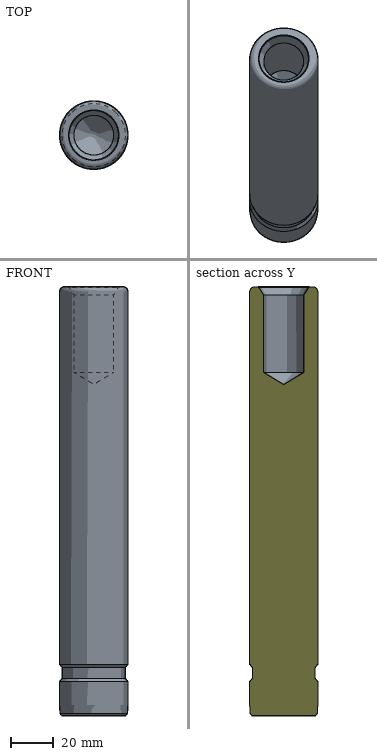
import cadquery as cq
import math

length = 200.0
radius = 16.0
top_fillet = 2.5

lead_in_height = 5.0
lead_in_radius = 15.75
bottom_chamfer = 1.0

groove_bottom = 16.0
groove_top = 24.0
groove_radius = 14.75
groove_flank_height = 1.5

recess_radius = 11.75
recess_depth = 0.4
mouth_radius = 11.5
bore_radius = 9.25
mouth_depth = 4.0
bore_depth = 40.0
drill_point_angle = 118.0


def revolve_about_z(profile):
    """Turn a half profile drawn in the XZ plane around the Z axis."""
    return profile.close().revolve(360, (0, 0, 0), (0, 1, 0))


def make_pillar():
    """Turned outside shape: chamfered foot, lead-in, groove, shaft and rounded top."""
    fillet_mid = top_fillet * math.sqrt(0.5)
    profile = (
        cq.Workplane("XZ")
        .lineTo(-(lead_in_radius - bottom_chamfer), 0)
        .lineTo(-lead_in_radius, bottom_chamfer)
        .lineTo(-radius, lead_in_height)
        .lineTo(-radius, groove_bottom)
        .lineTo(-groove_radius, groove_bottom + groove_flank_height)
        .lineTo(-groove_radius, groove_top - groove_flank_height)
        .lineTo(-radius, groove_top)
        .lineTo(-radius, length - top_fillet)
        .threePointArc(
            (-(radius - top_fillet + fillet_mid), length - top_fillet + fillet_mid),
            (-(radius - top_fillet), length),
        )
        .lineTo(0, length)
    )
    return revolve_about_z(profile)


def make_bore():
    """Blind hole from the top: rim recess, tapered mouth, straight bore and conical end."""
    bore_floor = length - bore_depth
    point_height = bore_radius / math.tan(math.radians(drill_point_angle / 2))
    profile = (
        cq.Workplane("XZ")
        .moveTo(0, length)
        .lineTo(-recess_radius, length)
        .lineTo(-recess_radius, length - recess_depth)
        .lineTo(-mouth_radius, length - recess_depth)
        .lineTo(-bore_radius, length - mouth_depth)
        .lineTo(-bore_radius, bore_floor)
        .lineTo(0, bore_floor - point_height)
    )
    return revolve_about_z(profile)


result = make_pillar().cut(make_bore())